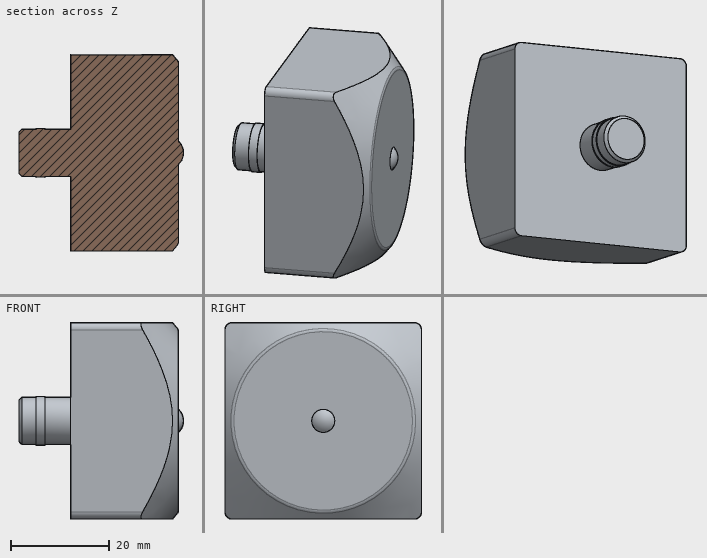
import math

import cadquery as cq

head_side = 40.0
head_depth = 22.0
corner_radius = 1.5

bevel_angle = 40.0
bevel_flat_edge = 20.75
face_edge_radius = 1.0

button_radius = 3.25
button_height = 1.0

shank_length = 10.5
shank_diameter = 9.65
tip_chamfer = 0.6

band_diameter = 10.0
band_width = 1.8
band_to_tip = 3.5


def cylinder_along_x(diameter, start, length):
    return cq.Workplane("YZ", origin=(start, 0, 0)).circle(diameter / 2).extrude(length)


def make_bevel_envelope():
    """Turned body whose conical front trims the front of the square head."""
    slope = math.tan(math.radians(bevel_angle))
    half_side = head_side / 2
    face_radius = half_side - (head_depth - bevel_flat_edge) / slope
    outer_radius = head_side
    outer_edge = head_depth - (outer_radius - face_radius) * slope
    profile = (
        cq.Workplane("XY")
        .moveTo(0, 0)
        .lineTo(head_depth, 0)
        .lineTo(head_depth, face_radius)
        .lineTo(outer_edge, outer_radius)
        .lineTo(0, outer_radius)
        .close()
    )
    envelope = profile.revolve(360, (0, 0, 0), (1, 0, 0))
    return envelope.faces(">X").edges().fillet(face_edge_radius)


def make_head():
    block = cq.Workplane("YZ").rect(head_side, head_side).extrude(head_depth)
    block = block.edges("|X").fillet(corner_radius)
    return block.intersect(make_bevel_envelope())


def make_button():
    """Shallow spherical cap standing on the front face."""
    tip_x = head_depth + button_height
    center_x = tip_x - button_radius
    rim_radius = math.sqrt(button_radius**2 - (head_depth - center_x) ** 2)
    mid_angle = math.acos((head_depth - center_x) / button_radius) / 2
    mid_arc = (center_x + button_radius * math.cos(mid_angle), button_radius * math.sin(mid_angle))
    profile = (
        cq.Workplane("XY")
        .moveTo(head_depth, 0)
        .lineTo(head_depth, rim_radius)
        .threePointArc(mid_arc, (tip_x, 0))
        .close()
    )
    return profile.revolve(360, (0, 0, 0), (1, 0, 0))


def make_shank():
    shank = cylinder_along_x(shank_diameter, -shank_length, shank_length)
    shank = shank.faces("<X").chamfer(tip_chamfer)
    band = cylinder_along_x(band_diameter, band_to_tip - shank_length, band_width)
    return shank.union(band)


result = make_head().union(make_button()).union(make_shank())